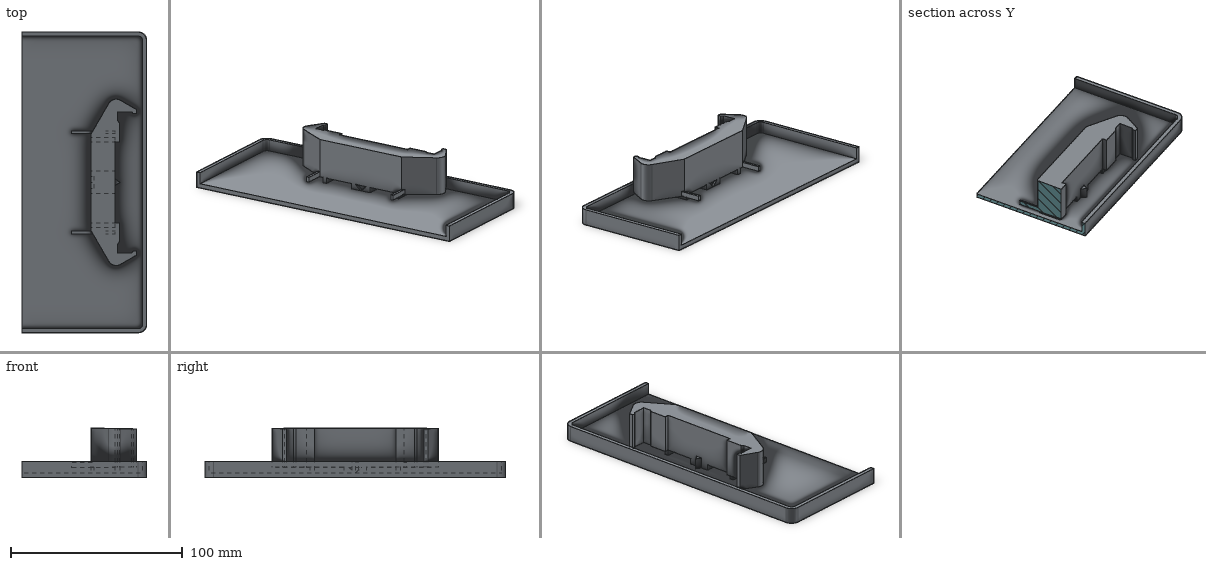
import cadquery as cq
import math

TRAY_LENGTH_X = 72.67
TRAY_WIDTH_Y = 174.93
RIM_HEIGHT = 9.5
RIM_THICKNESS = 2.4
FLOOR_THICKNESS = 2.7
TRAY_CORNER_RADIUS = 5.0

OVERALL_HEIGHT = 28.89
FOOT_HEIGHT = 3.2
BLOCK_BOTTOM = FLOOR_THICKNESS + FOOT_HEIGHT
BLOCK_HEIGHT = OVERALL_HEIGHT - BLOCK_BOTTOM
DRAFT_ANGLE = 1.0

FRONT_X = 40.4
FRONT_HALF_WIDTH = 28.3
SHOULDER_ANGLE = 60.0
SHOULDER_RADIUS = 5.0
SHOULDER_TOP_Y = 48.4
HOOK_TIP_X = 66.85
HOOK_INNER_Y = 41.0
HOOK_LIP_Y = 39.9
HOOK_LIP_START_X = 63.8
HOOK_LIP_END_X = 65.0

BACK_X = 54.15
PAD_X = 56.8
PAD_INNER_Y = 23.6
PAD_OUTER_Y = 34.5
HOOK_ROOT_X = 55.75
HOOK_ROOT_Y = 36.0

SIDE_FOOT_INNER_Y = PAD_INNER_Y
SIDE_FOOT_WIDTH = 2.6
CENTRE_FOOT_WIDTH = 13.0
TRIANGLE_RECESS_WIDTH = 7.1
TRIANGLE_RECESS_DEPTH = 1.5

BAR_WIDTH = 1.6
BAR_HEIGHT = 2.9
BAR_END_X = 28.8
BAR_RISE = 0.15

POINTER_WIDTH = 4.0
POINTER_LENGTH = 3.0


def make_tray():
    """Rounded pan whose -X side is left open."""
    tray = (
        cq.Workplane("XY")
        .box(TRAY_LENGTH_X, TRAY_WIDTH_Y, RIM_HEIGHT, centered=(False, True, False))
        .edges("|Z and >X")
        .fillet(TRAY_CORNER_RADIUS)
    )
    pocket = (
        cq.Workplane("XY", origin=(0, 0, FLOOR_THICKNESS))
        .box(
            TRAY_LENGTH_X - RIM_THICKNESS,
            TRAY_WIDTH_Y - 2 * RIM_THICKNESS,
            RIM_HEIGHT,
            centered=(False, True, False),
        )
        .edges("|Z and >X")
        .fillet(TRAY_CORNER_RADIUS - RIM_THICKNESS)
    )
    return tray.cut(pocket)


def block_outline():
    """Closed plan outline of the block, with the +Y half mirrored to -Y."""
    angle = math.radians(SHOULDER_ANGLE)
    centre_y = SHOULDER_TOP_Y - SHOULDER_RADIUS
    slope_end_y = centre_y + SHOULDER_RADIUS * math.cos(angle)
    slope_end_x = FRONT_X + (slope_end_y - FRONT_HALF_WIDTH) / math.tan(angle)
    centre_x = slope_end_x + SHOULDER_RADIUS * math.sin(angle)

    hook_start_x = centre_x + SHOULDER_RADIUS * math.cos(angle)
    hook_start_y = centre_y + SHOULDER_RADIUS * math.sin(angle)
    hook_tip_y = hook_start_y - (HOOK_TIP_X - hook_start_x) / math.tan(angle)

    half = (
        cq.Workplane("XY", origin=(0, 0, BLOCK_BOTTOM))
        .moveTo(FRONT_X, 0)
        .lineTo(FRONT_X, FRONT_HALF_WIDTH)
        .lineTo(slope_end_x, slope_end_y)
        .threePointArc((centre_x, SHOULDER_TOP_Y), (hook_start_x, hook_start_y))
        .lineTo(HOOK_TIP_X, hook_tip_y)
        .lineTo(HOOK_TIP_X, HOOK_LIP_Y)
        .lineTo(HOOK_LIP_END_X, HOOK_LIP_Y)
        .lineTo(HOOK_LIP_START_X, HOOK_INNER_Y)
        .lineTo(HOOK_ROOT_X, HOOK_INNER_Y)
        .lineTo(HOOK_ROOT_X, HOOK_ROOT_Y)
        .lineTo(PAD_X, PAD_OUTER_Y)
        .lineTo(PAD_X, PAD_INNER_Y)
        .lineTo(BACK_X, PAD_INNER_Y)
        .lineTo(BACK_X, 0)
    )
    return half.mirrorX()


def draft_envelope():
    """Wedge that tapers the top and bottom faces of the block towards +X."""
    taper = (HOOK_TIP_X - FRONT_X) * math.tan(math.radians(DRAFT_ANGLE))
    return (
        cq.Workplane("XZ")
        .polyline([
            (FRONT_X, BLOCK_BOTTOM),
            (HOOK_TIP_X, BLOCK_BOTTOM + taper),
            (HOOK_TIP_X, OVERALL_HEIGHT - taper),
            (FRONT_X, OVERALL_HEIGHT),
        ])
        .close()
        .extrude(SHOULDER_TOP_Y, both=True)
    )


def make_foot(centre_y, width):
    """Foot from the tray floor up into the block, flush with the block's -X face."""
    return cq.Workplane("XY", origin=(FRONT_X, centre_y, FLOOR_THICKNESS)).box(
        BACK_X - FRONT_X, width, 2 * FOOT_HEIGHT, centered=(False, True, False)
    )


def make_bar(side):
    """Bar reaching out to -X beside a corner of the block's front face."""
    centre_y = side * (FRONT_HALF_WIDTH + BAR_WIDTH / 2)
    return cq.Workplane("XY", origin=(BAR_END_X, centre_y, BLOCK_BOTTOM + BAR_RISE)).box(
        BACK_X - BAR_END_X, BAR_WIDTH, BAR_HEIGHT, centered=(False, True, False)
    )


def triangle_recess():
    """Shallow downward-pointing triangular recess in the -X face of the centre foot."""
    half_width = TRIANGLE_RECESS_WIDTH / 2
    return (
        cq.Workplane("YZ", origin=(FRONT_X, 0, 0))
        .polyline([(-half_width, BLOCK_BOTTOM), (half_width, BLOCK_BOTTOM), (0, FLOOR_THICKNESS)])
        .close()
        .extrude(TRIANGLE_RECESS_DEPTH)
    )


def make_pointer():
    """Small triangular pointer low down at the middle of the +X side."""
    half_width = POINTER_WIDTH / 2
    return (
        cq.Workplane("XY", origin=(BACK_X, 0, FLOOR_THICKNESS))
        .polyline([(0, -half_width), (POINTER_LENGTH, 0), (0, half_width)])
        .close()
        .extrude(2 * FOOT_HEIGHT)
    )


def make_holder():
    """Block, feet, bars and pointer as one solid."""
    holder = block_outline().extrude(BLOCK_HEIGHT).intersect(draft_envelope())
    holder = holder.union(make_foot(0, CENTRE_FOOT_WIDTH))
    for side in (-1, 1):
        side_foot_y = side * (SIDE_FOOT_INNER_Y + SIDE_FOOT_WIDTH / 2)
        holder = holder.union(make_foot(side_foot_y, SIDE_FOOT_WIDTH))
        holder = holder.union(make_bar(side))
    return holder.cut(triangle_recess()).union(make_pointer())


tray = make_tray()
holder = make_holder()
result = cq.Compound.makeCompound([tray.solids().val(), holder.solids().val()])